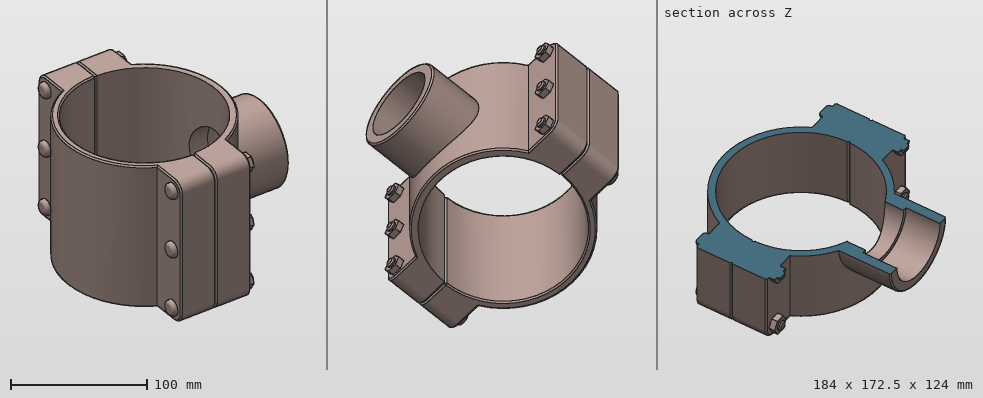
import cadquery as cq
import math

height = 124.0
width = 184.0
bore_radius = 62.5
wall = 6.25
ring_radius = bore_radius + wall
flange_thickness = 31.25
corner_radius = 9.65
edge_chamfer = 1.25

branch_diameter = 73.65
branch_end = 103.75
branch_chamfer = 1.25
socket_diameter = 56.66
port_diameter = 50.0
socket_depth = 30.0
port_end = branch_end - socket_depth

bolt_inset = 10.6
bolt_x = width / 2 - bolt_inset
bolt_spacing = height / 2 - bolt_inset
shank_diameter = 8.0
shank_overhang = 7.5
shank_chamfer = 1.25
head_diameter = 13.0
head_height = 4.0
head_round = 3.0
nut_width = 13.0
nut_height = 5.0

TOLERANCE = 0.01


def y_cylinder(diameter, start, end):
    """Cylinder along Y from start to end."""
    return cq.Workplane("XZ", origin=(0, start, 0)).circle(diameter / 2).extrude(start - end)


def y_hexagon(across_flats, start, end):
    """Hexagonal prism along Y with two corners on the X direction."""
    across_corners = across_flats / math.cos(math.pi / 6)
    return cq.Workplane("XZ", origin=(0, start, 0)).polygon(6, across_corners).extrude(start - end)


def z_cylinder(radius):
    """Full-height cylinder along Z."""
    return cq.Workplane("XY").circle(radius).extrude(height / 2, both=True)


def clamp_half(side, chamfer_bore):
    """Half ring with two flanges, on the +Y (side = 1) or -Y (side = -1) side."""
    keep = cq.Workplane("XY").box(width, ring_radius, height).translate((0, side * ring_radius / 2, 0))
    flanges = cq.Workplane("XY").box(width, flange_thickness, height).edges("|Y").fillet(corner_radius)
    flanges = flanges.translate((0, side * flange_thickness / 2, 0))
    half = z_cylinder(ring_radius).intersect(keep).union(flanges).cut(z_cylinder(bore_radius))

    def is_chamfered(edge):
        box = edge.BoundingBox()
        on_split = max(abs(box.ymin), abs(box.ymax)) < TOLERANCE
        on_flange_face = (
            box.ylen < TOLERANCE
            and abs(abs(box.center.y) - flange_thickness) < TOLERANCE
            and (box.xlen > TOLERANCE or abs(abs(box.center.x) - width / 2) < TOLERANCE)
        )
        is_end_arc = box.zlen < TOLERANCE and box.ylen > TOLERANCE and edge.geomType() == "CIRCLE"
        on_bore = is_end_arc and abs(edge.radius() - bore_radius) < TOLERANCE
        return on_split or on_flange_face or (is_end_arc and (chamfer_bore or not on_bore))

    chamfered = [edge for edge in half.edges().vals() if is_chamfered(edge)]
    return half.newObject(chamfered).chamfer(edge_chamfer)


def add_branch(half):
    """Add the branch tube and open it into the bore with a stepped hole."""
    tube = y_cylinder(branch_diameter, 0, branch_end).faces(">Y").edges().chamfer(branch_chamfer)
    tube = tube.cut(z_cylinder(bore_radius))
    port = y_cylinder(port_diameter, 0, port_end)
    socket = y_cylinder(socket_diameter, port_end, branch_end)
    return half.union(tube).cut(port).cut(socket)


def bolt():
    """Button-head bolt along Y with a hexagon nut."""
    head_end = -flange_thickness - head_height
    shank_end = flange_thickness + shank_overhang
    head = y_cylinder(head_diameter, head_end, -flange_thickness).faces("<Y").edges().fillet(head_round)
    shank = y_cylinder(shank_diameter, -flange_thickness, shank_end)
    shank = shank.faces(">Y").edges().chamfer(shank_chamfer)
    nut = y_hexagon(nut_width, flange_thickness, flange_thickness + nut_height)
    return head.union(shank).union(nut)


result = add_branch(clamp_half(1, False)).union(clamp_half(-1, True))
for x in (-bolt_x, bolt_x):
    for z in (-bolt_spacing, 0, bolt_spacing):
        result = result.union(bolt().translate((x, 0, z)))